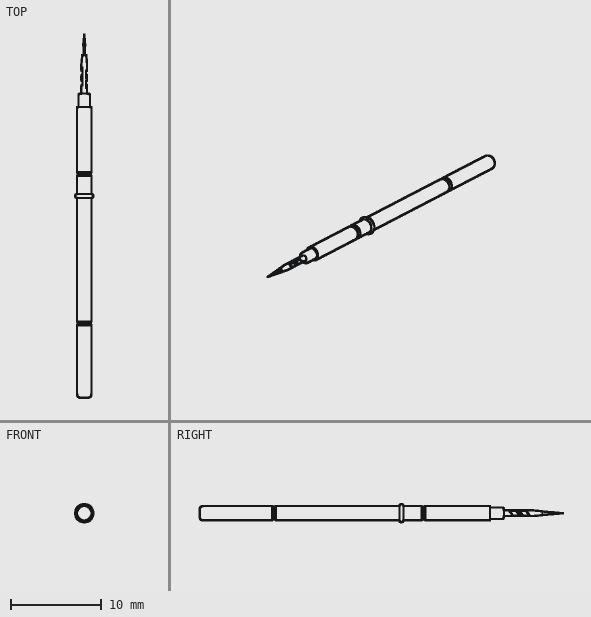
import cadquery as cq

total_length = 40.0

barrel_radius = 0.8
barrel_length = 32.0
tail_fillet = 0.4

groove_half_width = 0.22
groove_depth = 0.16
groove_centers = (8.2, 24.63)
collar_center = 22.22
collar_half_width = 0.22
collar_radius = 1.0

nose_radius = 0.65
nose_end = 33.5
nose_fillet = 0.2
shank_radius = 0.33
shank_end = 36.7
tip_radius = 0.01

shank_flat_thickness = 0.4
shank_flat_length = 0.75
shank_flat_starts = (34.3, 35.4)
shank_flat_slant = 0.25

taper_flat_thickness = 0.2
taper_flat_start = 37.75
taper_flat_length = 1.05


def cylinder(radius, start, end):
    """Solid cylinder on the Y axis between two stations."""
    return cq.Workplane("XZ", origin=(0, end, 0)).circle(radius).extrude(end - start)


def barrel():
    """Plain barrel with a rounded tail end."""
    return cylinder(barrel_radius, 0, barrel_length).faces("<Y").edges().fillet(tail_fillet)


def groove_cutter(center):
    """Ring with a pointed inner side that cuts one groove into the barrel."""
    return (
        cq.Workplane("XY")
        .moveTo(barrel_radius, center - groove_half_width)
        .lineTo(barrel_radius - groove_depth, center)
        .lineTo(barrel_radius, center + groove_half_width)
        .lineTo(collar_radius, center + groove_half_width)
        .lineTo(collar_radius, center - groove_half_width)
        .close()
        .revolve(360, (0, 0, 0), (0, 1, 0))
    )


def collar():
    """Convex ring with an arc-shaped section standing proud of the barrel."""
    return (
        cq.Workplane("XY")
        .moveTo(0, collar_center - collar_half_width)
        .lineTo(barrel_radius, collar_center - collar_half_width)
        .threePointArc(
            (collar_radius, collar_center),
            (barrel_radius, collar_center + collar_half_width),
        )
        .lineTo(0, collar_center + collar_half_width)
        .close()
        .revolve(360, (0, 0, 0), (0, 1, 0))
    )


def nose():
    """Reduced-diameter nose with a rounded front edge."""
    return cylinder(nose_radius, barrel_length, nose_end).faces(">Y").edges().fillet(nose_fillet)


def needle():
    """Cylindrical shank running into a slender taper that ends in a tiny flat tip."""
    return (
        cq.Workplane("XY")
        .moveTo(0, nose_end)
        .lineTo(shank_radius, nose_end)
        .lineTo(shank_radius, shank_end)
        .lineTo(tip_radius, total_length)
        .lineTo(0, total_length)
        .close()
        .revolve(360, (0, 0, 0), (0, 1, 0))
    )


def flat_cutter(start, length, thickness, slant):
    """Two blocks on opposite X sides that leave a web of the given thickness.

    The block ends shift by `slant` along Y between mid-height and the top of the shank.
    The second block is the first turned half way round the axis.
    """
    end = start + length
    block = (
        cq.Workplane("YZ", origin=(-shank_radius, 0, 0))
        .polyline([
            (start - slant, -shank_radius),
            (end - slant, -shank_radius),
            (end + slant, shank_radius),
            (start + slant, shank_radius),
        ])
        .close()
        .extrude(shank_radius - thickness / 2)
    )
    return block.union(block.rotate((0, 0, 0), (0, 1, 0), 180))


result = barrel().union(collar()).union(nose()).union(needle())

for groove_center in groove_centers:
    result = result.cut(groove_cutter(groove_center))

for flat_start in shank_flat_starts:
    result = result.cut(
        flat_cutter(flat_start, shank_flat_length, shank_flat_thickness, shank_flat_slant)
    )

result = result.cut(flat_cutter(taper_flat_start, taper_flat_length, taper_flat_thickness, 0))